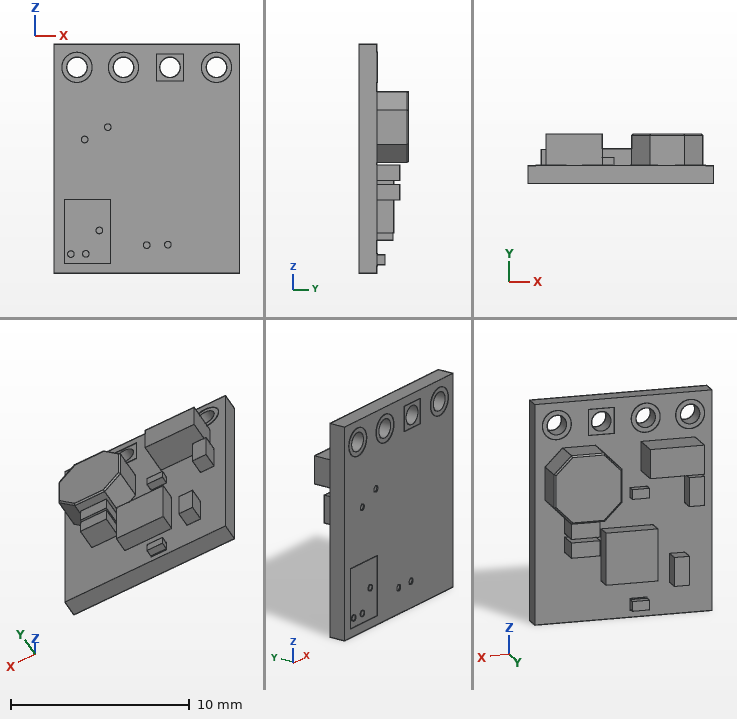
import cadquery as cq


BOARD_WIDTH = 10.39
BOARD_HEIGHT = 12.83
BOARD_THICKNESS = 1.01
TALLEST_LEVEL = 2.8

PIN_COUNT = 4
PIN_PITCH = 2.6
PIN_HEIGHT = 11.53
PIN_HOLE_DIAMETER = 1.13
ROUND_PAD_DIAMETER = 1.69
SQUARE_PAD_SIDE = 1.51
SQUARE_PAD_PIN = 2
COPPER_THICKNESS = 0.03

COPPER_AREA_WIDTH = 2.58
COPPER_AREA_HEIGHT = 3.6
COPPER_AREA_LEFT = -4.6
COPPER_AREA_BOTTOM = 0.54

VIA_DIAMETER = 0.37
VIA_DEPTH = 0.08
VIA_CENTRES = [
    (-2.18, 8.19),
    (-3.48, 7.49),
    (-2.65, 2.4),
    (-4.25, 1.08),
    (-3.41, 1.09),
    (0.0, 1.58),
    (1.18, 1.6),
]

INDUCTOR_SIDE = 3.98
INDUCTOR_LEFT = 0.62
INDUCTOR_BOTTOM = 6.2
INDUCTOR_CORNER_CUT = 1.03
INDUCTOR_RIM_CHAMFER = 0.09

LARGE_CAP_WIDTH = 3.17
LARGE_CAP_HEIGHT = 1.69
LARGE_CAP_LEFT = -4.2
LARGE_CAP_BOTTOM = INDUCTOR_BOTTOM + INDUCTOR_SIDE - LARGE_CAP_HEIGHT

EDGE_CAP_WIDTH = 0.89
EDGE_CAP_LENGTH = 1.68
EDGE_CAP_LEVEL = 1.92
EDGE_CAP_CORNERS = [(-4.46, 6.42), (-3.59, 1.85)]

CHIP_SIDE = 3.03
CHIP_LEFT = -1.72
CHIP_BOTTOM = 2.26
CHIP_LEVEL = 1.96

LYING_CAP_LENGTH = EDGE_CAP_LENGTH
LYING_CAP_HEIGHT = EDGE_CAP_WIDTH
LYING_CAP_LEFT = INDUCTOR_LEFT + (INDUCTOR_SIDE - LYING_CAP_LENGTH) / 2
LYING_CAP_LEVEL = 2.3
LYING_CAP_BOTTOMS = [5.18, 4.09]

RESISTOR_LENGTH = 1.0
RESISTOR_HEIGHT = 0.56
RESISTOR_LEFT = -1.39
LOWER_RESISTOR_BOTTOM = 0.47
UPPER_RESISTOR_BOTTOM = 6.98
RESISTOR_LEVEL = 1.48
RESISTOR_PAD_MARGIN = 0.06


def block(left, bottom, width, height, level, base=BOARD_THICKNESS):
    """Box with its lower -X corner at (left, bottom), reaching in Y from base to level."""
    return cq.Workplane("XY").box(width, level - base, height, centered=False).translate((left, base, bottom))


def disc(x, z, diameter, base, level):
    """Cylinder along Y around (x, z), reaching from base to level."""
    return (
        cq.Workplane("XZ", origin=(0, base, 0))
        .center(x, z)
        .circle(diameter / 2)
        .extrude(base - level)
    )


def pin_pad(pin, x, base, level):
    """Copper pad of one pin: square for the ground pin, round for the others."""
    if pin == SQUARE_PAD_PIN:
        half = SQUARE_PAD_SIDE / 2
        return block(x - half, PIN_HEIGHT - half, SQUARE_PAD_SIDE, SQUARE_PAD_SIDE, level, base)
    return disc(x, PIN_HEIGHT, ROUND_PAD_DIAMETER, base, level)


def inductor():
    body = block(INDUCTOR_LEFT, INDUCTOR_BOTTOM, INDUCTOR_SIDE, INDUCTOR_SIDE, TALLEST_LEVEL)
    body = body.edges("|Y").chamfer(INDUCTOR_CORNER_CUT)
    return body.faces(">Y").edges().chamfer(INDUCTOR_RIM_CHAMFER)


result = block(-BOARD_WIDTH / 2, 0, BOARD_WIDTH, BOARD_HEIGHT, BOARD_THICKNESS, base=0)
result = result.cut(
    block(
        COPPER_AREA_LEFT,
        COPPER_AREA_BOTTOM,
        COPPER_AREA_WIDTH,
        COPPER_AREA_HEIGHT,
        COPPER_THICKNESS,
        base=0,
    )
)
for via_x, via_z in VIA_CENTRES:
    result = result.cut(disc(via_x, via_z, VIA_DIAMETER, 0, VIA_DEPTH))

raised_level = BOARD_THICKNESS + COPPER_THICKNESS

for pin in range(PIN_COUNT):
    pin_x = (pin - (PIN_COUNT - 1) / 2) * PIN_PITCH
    result = result.cut(pin_pad(pin, pin_x, 0, COPPER_THICKNESS))
    result = result.union(pin_pad(pin, pin_x, BOARD_THICKNESS, raised_level))
    result = result.cut(disc(pin_x, PIN_HEIGHT, PIN_HOLE_DIAMETER, 0, raised_level))

result = result.union(inductor())
result = result.union(
    block(LARGE_CAP_LEFT, LARGE_CAP_BOTTOM, LARGE_CAP_WIDTH, LARGE_CAP_HEIGHT, TALLEST_LEVEL)
)
result = result.union(block(CHIP_LEFT, CHIP_BOTTOM, CHIP_SIDE, CHIP_SIDE, CHIP_LEVEL))
for cap_left, cap_bottom in EDGE_CAP_CORNERS:
    result = result.union(
        block(cap_left, cap_bottom, EDGE_CAP_WIDTH, EDGE_CAP_LENGTH, EDGE_CAP_LEVEL)
    )
for cap_bottom in LYING_CAP_BOTTOMS:
    result = result.union(
        block(LYING_CAP_LEFT, cap_bottom, LYING_CAP_LENGTH, LYING_CAP_HEIGHT, LYING_CAP_LEVEL)
    )
for resistor_bottom in [LOWER_RESISTOR_BOTTOM, UPPER_RESISTOR_BOTTOM]:
    result = result.union(
        block(RESISTOR_LEFT, resistor_bottom, RESISTOR_LENGTH, RESISTOR_HEIGHT, RESISTOR_LEVEL)
    )
result = result.union(
    block(
        RESISTOR_LEFT,
        LOWER_RESISTOR_BOTTOM - RESISTOR_PAD_MARGIN,
        RESISTOR_LENGTH,
        RESISTOR_HEIGHT + 2 * RESISTOR_PAD_MARGIN,
        raised_level,
    )
)